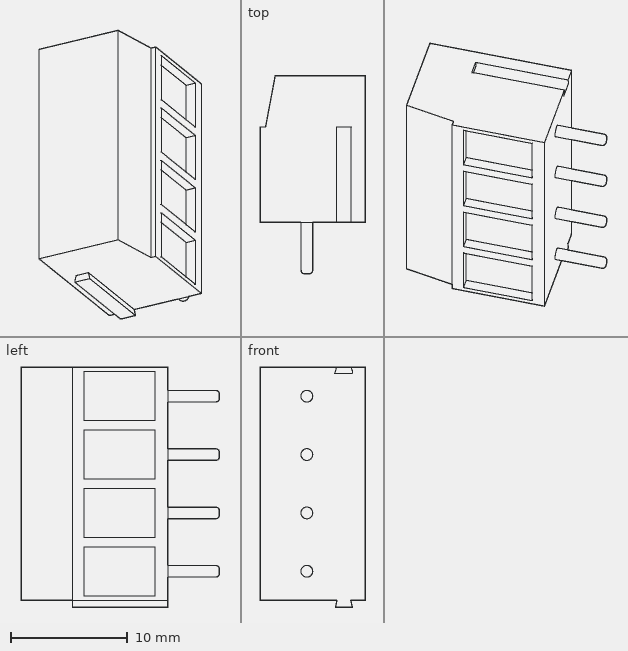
import cadquery as cq

pole_count = 4
body_width = 9.0
body_depth = 12.59
total_height = 20.6
rail_height = 0.6
body_height = total_height - rail_height
pitch = body_height / pole_count

shoulder_drop = 4.39
shoulder_step = 0.45
slope_top_inset = 1.28

window_length = 6.1
window_height = 4.2
window_depth = 0.9
window_front_margin = 1.1

pin_diameter = 1.0
pin_length = 4.4
pin_x = 4.0
pin_tip_radius = 0.3

dovetail_x = 7.17
rail_neck_width = 1.22
rail_crest_width = 1.46
groove_mouth_width = 1.24
groove_floor_width = 1.59
groove_depth = 0.55
groove_corner_radius = 0.1

shoulder_y = body_depth - shoulder_drop


def pole_heights():
    """Z of the middle of each pole."""
    return [(index + 0.5) * pitch for index in range(pole_count)]


def make_body():
    """Housing profile extruded upwards from Z = 0, front face at Y = 0."""
    profile = [
        (0, 0),
        (body_width, 0),
        (body_width, body_depth),
        (slope_top_inset, body_depth),
        (shoulder_step, shoulder_y),
        (0, shoulder_y),
    ]
    return cq.Workplane("XY").polyline(profile).close().extrude(body_height)


def make_dovetail(top_z, top_width, bottom_width, height):
    """Dovetail bar running from the front face back to the shoulder."""
    profile = [
        (dovetail_x - top_width / 2, top_z),
        (dovetail_x + top_width / 2, top_z),
        (dovetail_x + bottom_width / 2, top_z - height),
        (dovetail_x - bottom_width / 2, top_z - height),
    ]
    return cq.Workplane("XZ").polyline(profile).close().extrude(-shoulder_y)


def make_groove():
    """Dovetail cutter for the top face, rounded along its lower +X edge."""
    groove = make_dovetail(body_height, groove_mouth_width, groove_floor_width, groove_depth)
    return groove.faces("<Z").edges(">X").fillet(groove_corner_radius)


def make_window(pole_z):
    """Block that cuts one blind window into the -X face."""
    return (
        cq.Workplane("XY")
        .box(window_depth, window_length, window_height, centered=(False, False, True))
        .translate((0, window_front_margin, pole_z))
    )


def make_pin(pole_z):
    """Round pin with a rounded tip, standing out of the front face."""
    return (
        cq.Workplane("XZ")
        .center(pin_x, pole_z)
        .circle(pin_diameter / 2)
        .extrude(pin_length)
        .faces("<Y")
        .edges()
        .fillet(pin_tip_radius)
    )


result = make_body()
result = result.union(make_dovetail(0, rail_neck_width, rail_crest_width, rail_height))
result = result.cut(make_groove())
for pole_z in pole_heights():
    result = result.cut(make_window(pole_z))
    result = result.union(make_pin(pole_z))